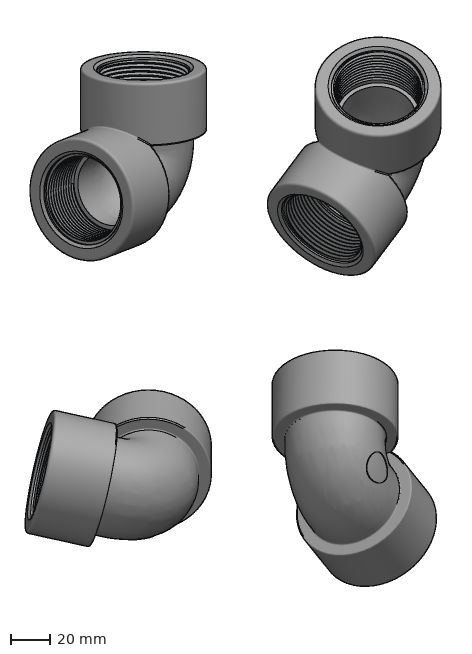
import cadquery as cq
import math

LENGTH = 89.3
PORT_DIAMETER = 64.3
PORT_RADIUS = PORT_DIAMETER / 2
PORT_FACE = LENGTH - PORT_RADIUS

PORT_LENGTH = 33.0
PORT_BACK = PORT_FACE - PORT_LENGTH
RIM_FILLET = 1.4
COLLAR_FILLET = 0.7
NECK_RADIUS = 25.6
BEND_RADIUS = 19.0

BORE_RADIUS = 38.1 / 2
SOCKET_DEPTH = 25.45
LEAD_IN_RADIUS = 25.45
LEAD_IN_DEPTH = 1.25
LEAD_IN_BASE_RADIUS = 23.8
RELIEF_DEPTH = 2.3

TOLERANCE = 0.01

THREAD_PITCH = 2.205
THREAD_TAPER = math.degrees(math.atan(1 / 32))
CREST_RADIUS = 22.2
CREST_FLAT = 0.4
THREAD_START = 1.3
THREAD_END = 23.9
THREAD_END_ANGLE = 180.0
THREAD_ANGLE = 60.0
GROOVE_OVERLAP = 0.3

PAD_DIAMETER = 15.9
PAD_HEIGHT = 0.3


def taper_shift(depth):
    """Loss of thread radius at a depth below the open face."""
    return depth * math.tan(math.radians(THREAD_TAPER))


def mouth_cone(radius_top, radius_bottom, depth):
    """Solid of revolution that opens at the +Z port face and narrows down to the given depth."""
    section = [(0, 0), (radius_top, 0), (radius_bottom, -depth), (0, -depth)]
    return cq.Workplane("XZ", origin=(0, 0, PORT_FACE)).polyline(section).close().revolve(360, (0, 0), (0, 1))


def front_copy(top_part):
    """Copy of a part made for the +Z port, turned about X onto the -Y port."""
    return top_part.rotate((0, 0, 0), (1, 0, 0), 90)


def both_ports(top_part):
    """A part made for the +Z port, joined with its copy on the -Y port."""
    return top_part.union(front_copy(top_part))


def port_and_neck():
    """Collar of the +Z port, rounded at its rim, with the straight neck that joins it to the bend."""
    collar = cq.Workplane("XY", origin=(0, 0, PORT_BACK)).circle(PORT_RADIUS).extrude(PORT_LENGTH)
    collar = collar.faces(">Z").edges().fillet(RIM_FILLET)
    neck = cq.Workplane("XY", origin=(0, 0, BEND_RADIUS)).circle(NECK_RADIUS).extrude(PORT_BACK - BEND_RADIUS)
    return collar.union(neck)


def bend(radius):
    """Quarter turn of a round bar, cut off flat where the bar would cross its own bend axis."""
    half_chord = math.sqrt(radius**2 - BEND_RADIUS**2)
    return (
        cq.Workplane("XY", origin=(0, 0, BEND_RADIUS))
        .moveTo(-half_chord, -BEND_RADIUS)
        .threePointArc((0, radius), (half_chord, -BEND_RADIUS))
        .close()
        .revolve(90, (0, -BEND_RADIUS), (-1, -BEND_RADIUS))
    )


def collar_end_edges(body, radius):
    """Arcs of the given radius in the inner end planes of the two collars."""

    def in_plane(low, high, position):
        return abs(low - position) < TOLERANCE and abs(high - position) < TOLERANCE

    found = []
    for edge in body.edges("%CIRCLE").vals():
        box = edge.BoundingBox()
        at_end = in_plane(box.zmin, box.zmax, PORT_BACK) or in_plane(box.ymin, box.ymax, -PORT_BACK)
        if at_end and abs(edge.radius() - radius) < TOLERANCE:
            found.append(edge)
    return found


def outer_body():
    """Solid elbow: two collars with necks, the bend between them and their rounded joints."""
    body = both_ports(port_and_neck()).union(bend(NECK_RADIUS))
    mitre = body.edges(cq.selectors.NearestToPointSelector((0, -PORT_RADIUS, PORT_RADIUS))).vals()
    ends = collar_end_edges(body, PORT_RADIUS)
    body = body.newObject(mitre + ends).fillet(COLLAR_FILLET)
    return body.newObject(collar_end_edges(body, NECK_RADIUS)).fillet(COLLAR_FILLET)


def thread_groove():
    """V-shaped groove of the +Z port, wound up along a tapered helix."""
    start_z = PORT_FACE - THREAD_END
    crest = CREST_RADIUS - taper_shift(THREAD_END)
    flank_slope = math.tan(math.radians(THREAD_ANGLE / 2))
    groove_half_width = (THREAD_PITCH - CREST_FLAT) / 2
    groove_depth = groove_half_width / flank_slope
    cutter_half_width = groove_half_width + GROOVE_OVERLAP * flank_slope
    helix = cq.Wire.makeHelix(
        THREAD_PITCH,
        THREAD_END - THREAD_START,
        crest,
        center=cq.Vector(0, 0, start_z),
        angle=THREAD_TAPER,
    )
    return (
        cq.Workplane("XZ")
        .moveTo(crest - GROOVE_OVERLAP, start_z - cutter_half_width)
        .lineTo(crest + groove_depth, start_z)
        .lineTo(crest - GROOVE_OVERLAP, start_z + cutter_half_width)
        .close()
        .sweep(cq.Workplane(obj=helix), isFrenet=True)
        .rotate((0, 0, 0), (0, 0, 1), THREAD_END_ANGLE)
    )


def pad():
    """Thin round pad that follows the curved wall of the bend."""
    column = cq.Workplane("YZ").circle(PAD_DIAMETER / 2).extrude(-PORT_RADIUS)
    return bend(NECK_RADIUS + PAD_HEIGHT).intersect(column)


def socket_cuts():
    """Cutters of the +Z port, in cutting order: tapered hole, thread groove, lead-in and relief."""
    taper = mouth_cone(CREST_RADIUS, CREST_RADIUS - taper_shift(SOCKET_DEPTH), SOCKET_DEPTH)
    lead_in = mouth_cone(LEAD_IN_RADIUS, LEAD_IN_BASE_RADIUS, LEAD_IN_DEPTH)
    relief = mouth_cone(LEAD_IN_BASE_RADIUS, LEAD_IN_BASE_RADIUS, RELIEF_DEPTH)
    return [taper, thread_groove(), lead_in.union(relief)]


bore = mouth_cone(BORE_RADIUS, BORE_RADIUS, PORT_FACE - BEND_RADIUS)
passage = both_ports(bore).union(bend(BORE_RADIUS))

result = outer_body().union(pad()).cut(passage)
for cutter in socket_cuts():
    result = result.cut(cutter)
    result = result.cut(front_copy(cutter))